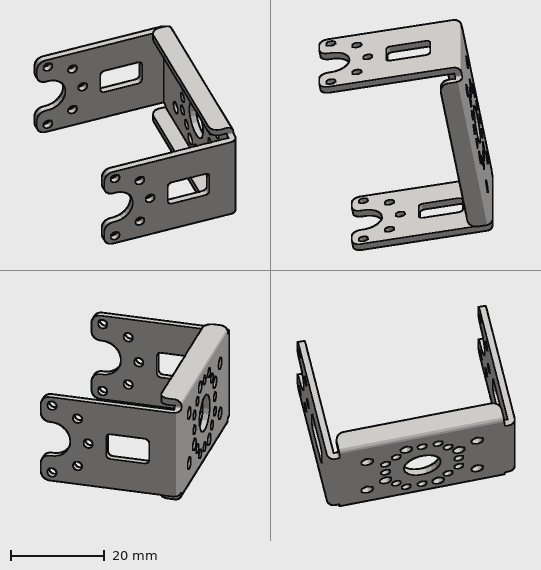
import cadquery as cq
import math


width = 41.0
depth = 30.5
height = 24.0
sheet = 1.5
bend_radius = sheet
overcut = 0.4

arm_height = 20.0
arm_corner_radius = 2.0
pivot_y = -28.0
pivot_notch_radius = 4.0
window_length = 9.5
window_height = 5.9
window_corner_radius = 1.0
window_start = 6.48

lip_length = 36.0
lip_depth = 5.0
lip_corner_radius = 2.0
relief_radius = (height - 2 * sheet - arm_height) / 2

bolt_circle_radius = 8.0
small_hole = 2.0
bolt_diagonal = bolt_circle_radius * math.cos(math.radians(45))

centre_opening = 8.0
offset_hole = 2.55
offset_hole_shift = 3.5
corner_hole = 2.6
corner_hole_x = 12.0
corner_hole_z = 6.0


def block(x_size, y_size, z_size, back_y=0.0):
    """Box centred in X and Z whose rear face lies at back_y."""
    return cq.Workplane("XY").box(x_size, y_size, z_size).translate((0, back_y - y_size / 2, 0))


def make_arms_and_back():
    """U-shaped strip: back plate plus the two arms bent forward."""
    outer = block(width, depth, arm_height).edges("|Z and >Y").fillet(bend_radius)
    inner = block(width - 2 * sheet, depth, arm_height + overcut, -sheet)
    return outer.cut(inner)


def make_lips():
    """Back plate strip with the top and bottom edges bent forward."""
    outer = block(lip_length, lip_depth, height).edges("|X and >Y").fillet(bend_radius)
    outer = outer.edges("|Z and <Y").fillet(lip_corner_radius)
    inner = block(lip_length + overcut, lip_depth, height - 2 * sheet, -sheet)
    return outer.cut(inner)


def make_corner_relief(side_x, side_z):
    """Concave fillet in the back plate between a lip end and an arm edge."""
    x = side_x * lip_length / 2
    z = side_z * arm_height / 2
    far_x = x + side_x * relief_radius
    far_z = z + side_z * relief_radius
    diagonal = relief_radius * (1 - math.sqrt(0.5))
    return (
        cq.Workplane("XZ")
        .moveTo(x, z)
        .lineTo(far_x, z)
        .threePointArc((x + side_x * diagonal, z + side_z * diagonal), (x, far_z))
        .close()
        .extrude(sheet)
    )


def back_holes(points, diameter):
    """Cutters through the back plate at (x, z) points."""
    return cq.Workplane("XZ").pushPoints(points).circle(diameter / 2).extrude(sheet + overcut)


def across_arms():
    """Sketch plane (y, z) at the -X side, for cuts that run through both arms."""
    return cq.Workplane("YZ", origin=(-width / 2 - overcut, 0, 0))


arm_cut_length = width + 2 * overcut

body = make_arms_and_back().union(make_lips())
for side_x in (-1, 1):
    for side_z in (-1, 1):
        body = body.union(make_corner_relief(side_x, side_z))

diagonal_points = [(i * bolt_diagonal, j * bolt_diagonal) for i in (-1, 1) for j in (-1, 1)]
axis_points = []
small_offset_points = []
large_offset_points = []
for x_dir, z_dir in ((1, 0), (0, 1), (-1, 0), (0, -1)):
    x = x_dir * bolt_circle_radius
    z = z_dir * bolt_circle_radius
    shift_x = z_dir * offset_hole_shift
    shift_z = x_dir * offset_hole_shift
    axis_points.append((x, z))
    small_offset_points.append((x - shift_x, z + shift_z))
    large_offset_points.append((x + shift_x, z - shift_z))
corner_points = [(i * corner_hole_x, j * corner_hole_z) for i in (-1, 1) for j in (-1, 1)]

body = body.cut(back_holes([(0, 0)], centre_opening))
body = body.cut(back_holes(diagonal_points + axis_points + small_offset_points, small_hole))
body = body.cut(back_holes(large_offset_points, offset_hole))
body = body.cut(back_holes(corner_points, corner_hole))

notch = across_arms().center(pivot_y, 0).circle(pivot_notch_radius).extrude(arm_cut_length)
notch_mouth = block(arm_cut_length, depth, 2 * pivot_notch_radius, pivot_y)
body = body.cut(notch).cut(notch_mouth)
body = body.edges("|X and <Y").fillet(arm_corner_radius)

arm_points = []
for angle in range(-90, 91, 45):
    hole_angle = math.radians(angle)
    hole_y = pivot_y + bolt_circle_radius * math.cos(hole_angle)
    hole_z = bolt_circle_radius * math.sin(hole_angle)
    arm_points.append((hole_y, hole_z))
body = body.cut(across_arms().pushPoints(arm_points).circle(small_hole / 2).extrude(arm_cut_length))

window = block(arm_cut_length, window_length, window_height, -window_start)
result = body.cut(window.edges("|X").fillet(window_corner_radius))